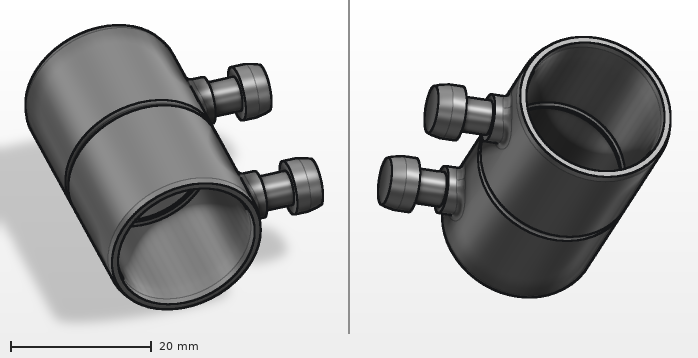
import cadquery as cq

tube_length = 37.5
outer_radius = 22.9 / 2
bore_radius = 20.1 / 2
end_taper_length = 0.98
end_taper_depth = 0.25
mouth_taper_depth = 0.22

groove_width = 1.28
groove_throat_width = 0.75
groove_throat_depth = 0.52
groove_floor_radius = 21.3 / 2
bead_width = 1.28
bead_crest_width = 0.52
bead_radius = 19.2 / 2

screw_inset = 7.6
screw_tip_y = 33.5 - outer_radius
head_radius = 7.8 / 2
head_tip_radius = 6.8 / 2
head_taper_length = 2.02
head_taper_bulge = 0.08
head_length = 4.05
shank_radius = 5.0 / 2
collar_radius = 6.8 / 2
collar_top_y = 13.6
collar_fillet = 1.0

middle_x = tube_length / 2


def make_tube():
    """Revolve the tube wall, including its tapered ends, groove and stop bead."""
    end_radius = outer_radius - end_taper_depth
    mouth_radius = bore_radius + mouth_taper_depth
    throat_radius = outer_radius - groove_throat_depth
    wall = (
        cq.Workplane("XY")
        .moveTo(0, mouth_radius)
        .lineTo(0, end_radius)
        .lineTo(end_taper_length, outer_radius)
        .lineTo(middle_x - groove_width / 2, outer_radius)
        .lineTo(middle_x - groove_throat_width / 2, throat_radius)
        .threePointArc((middle_x, groove_floor_radius), (middle_x + groove_throat_width / 2, throat_radius))
        .lineTo(middle_x + groove_width / 2, outer_radius)
        .lineTo(tube_length - end_taper_length, outer_radius)
        .lineTo(tube_length, end_radius)
        .lineTo(tube_length, mouth_radius)
        .lineTo(tube_length - end_taper_length, bore_radius)
        .lineTo(middle_x + bead_width / 2, bore_radius)
        .lineTo(middle_x + bead_crest_width / 2, bead_radius)
        .lineTo(middle_x - bead_crest_width / 2, bead_radius)
        .lineTo(middle_x - bead_width / 2, bore_radius)
        .lineTo(end_taper_length, bore_radius)
        .close()
    )
    return wall.revolve(360, (0, 0, 0), (1, 0, 0))


def add_collar(body, x):
    """Add a screw collar that ends inside the tube wall, and blend its foot into the tube."""
    root_radius = (outer_radius + bore_radius) / 2
    collar = (
        cq.Workplane("XZ", origin=(x, 0, 0))
        .circle(collar_radius)
        .extrude(-collar_top_y)
    )
    tube_core = cq.Workplane("YZ").circle(root_radius).extrude(tube_length)
    body = body.union(collar.cut(tube_core))
    margin = 0.38
    foot_zone = cq.selectors.BoxSelector(
        (x - collar_radius - margin, root_radius - collar_radius, -collar_radius - margin),
        (x + collar_radius + margin, collar_top_y - margin, collar_radius + margin),
    )
    return body.edges(foot_zone).fillet(collar_fillet)


def make_screw(x):
    """Revolve the shank and rounded, tapered head of one screw, standing on its collar."""
    head_bottom_y = screw_tip_y - head_length
    profile = (
        cq.Workplane("XY", origin=(x, 0, 0))
        .moveTo(0, collar_top_y)
        .lineTo(shank_radius, collar_top_y)
        .lineTo(shank_radius, head_bottom_y)
        .lineTo(head_radius, head_bottom_y)
        .lineTo(head_radius, screw_tip_y - head_taper_length)
        .threePointArc(
            ((head_radius + head_tip_radius) / 2 + head_taper_bulge, screw_tip_y - head_taper_length / 2),
            (head_tip_radius, screw_tip_y),
        )
        .lineTo(0, screw_tip_y)
        .close()
    )
    return profile.revolve(360, (0, 0, 0), (0, 1, 0))


result = make_tube()
for screw_x in (screw_inset, tube_length - screw_inset):
    result = add_collar(result, screw_x)
    result = result.union(make_screw(screw_x))